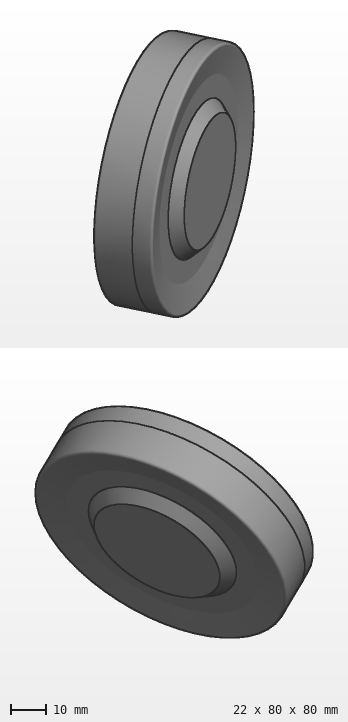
import cadquery as cq
import math

outer_radius = 40.0
hub_width = 22.0
rim_width = 18.0
front_body_width = 12.0
hub_face_radius = 20.0
hub_base_radius = 23.5
hub_flank_angle = math.radians(45)
dish_angle = math.radians(10)
rim_round = 0.8

hub_face_x = hub_width / 2
rim_crest_x = rim_width / 2
parting_x = front_body_width - rim_crest_x
hub_height = (hub_base_radius - hub_face_radius) / math.tan(hub_flank_angle)
recess_floor_x = hub_face_x - hub_height

round_center_x = rim_crest_x - rim_round
round_center_radius = outer_radius - rim_round
dish_end_x = round_center_x + rim_round * math.cos(dish_angle)
dish_end_radius = round_center_radius - rim_round * math.sin(dish_angle)
round_middle_x = round_center_x + rim_round * math.cos(math.pi / 4)
round_middle_radius = round_center_radius + rim_round * math.sin(math.pi / 4)

recess_floor_radius = dish_end_radius - (dish_end_x - recess_floor_x) / math.tan(dish_angle)


def half_disc(side):
    """One half of the disc, on the -X (side = -1) or +X (side = 1) side of the parting plane."""
    profile = (
        cq.Workplane("XY")
        .moveTo(parting_x, 0)
        .lineTo(side * hub_face_x, 0)
        .lineTo(side * hub_face_x, hub_face_radius)
        .lineTo(side * recess_floor_x, hub_base_radius)
        .lineTo(side * recess_floor_x, recess_floor_radius)
        .lineTo(side * dish_end_x, dish_end_radius)
        .threePointArc((side * round_middle_x, round_middle_radius), (side * round_center_x, outer_radius))
        .lineTo(parting_x, outer_radius)
        .close()
    )
    return profile.revolve(360, (0, 0, 0), (1, 0, 0))


front_body = half_disc(-1)
rear_body = half_disc(1)

result = cq.Compound.makeCompound([front_body.val(), rear_body.val()])